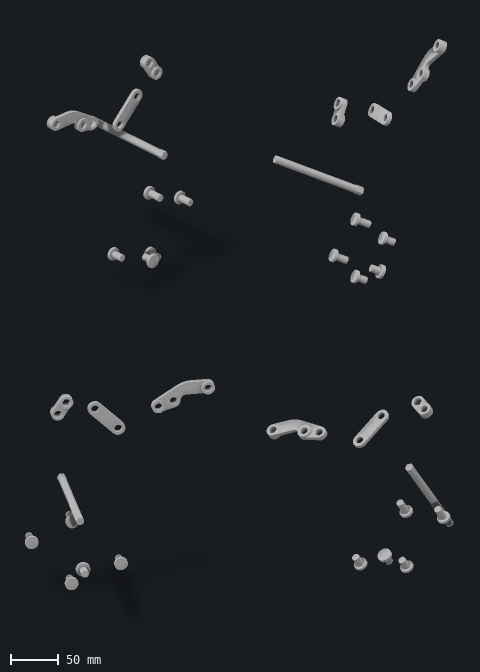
import cadquery as cq
import math


eye_diameter = 14.1
eye_radius = eye_diameter / 2
wide_eye_diameter = 15.0
wide_eye_radius = wide_eye_diameter / 2
pin_hole_diameter = 8.0
pin_diameter = 7.9

shaft_length = 108.2
shaft_diameter = 8.3
hex_sides = 6
hex_length = 8.0
hex_across_flats = shaft_diameter
hex_across_corners = hex_across_flats / math.cos(math.pi / hex_sides)

crank_hex_eye = (0, 100.0)
crank_pin_eye = (8.5, 86.5)
crank_plate_x = 80.6
crank_plate_thickness = 5.0
crank_boss_height = 2.8

link_upper_eye = (-34.0, 80.2)
link_lower_eye = (-58.5, 55.8)
link_x = 98.7
link_thickness = 4.0

arm_near_eye = (-102.2, 74.8)
arm_middle_eye = (-118.1, 80.0)
arm_far_eye = (-154.5, 93.1)
arm_plate_x = 103.8
arm_plate_thickness = 4.5
arm_near_boss_height = 1.5
arm_far_boss_height = 3.7
arm_middle_boss_height = 2.0
arm_bend_radius = 28.7
arm_bend_y = -137.4
arm_inner_corner_radius = 6.0

thin_head_thickness = 3.0
thick_head_thickness = 3.5
pin_layouts = [
    ((33.8, -66.5), 93.8, eye_radius, thin_head_thickness, 14.8, 1),
    ((-9.0, -45.6), 92.7, eye_radius, thick_head_thickness, 15.5, 1),
    ((-60.7, -99.0), 93.1, eye_radius, thin_head_thickness, 12.0, 1),
    ((-24.3, -112.4), 117.5, wide_eye_radius, thick_head_thickness, 10.5, -1),
    ((-8.3, -117.5), 93.1, eye_radius, thin_head_thickness, 11.5, 1),
]

up = math.pi / 2
half_turn = math.pi
full_turn = 2 * math.pi


def plane_at(x):
    """YZ sketch plane at the given X; it extrudes towards +X."""
    return cq.Workplane("YZ", origin=(x, 0, 0))


def cylinder(centre, radius, x, length):
    """Cylinder along X; a negative length extrudes towards -X."""
    return plane_at(x).center(*centre).circle(radius).extrude(length)


def boss(centre, radius, start_x, end_x):
    """Round boss that runs through its plate, from one face to the other."""
    return cylinder(centre, radius, start_x, end_x - start_x)


def point_on_circle(centre, radius, angle):
    return (centre[0] + radius * math.cos(angle), centre[1] + radius * math.sin(angle))


def direction(start, end):
    """Angle from one point to another in the YZ plane."""
    return math.atan2(end[1] - start[1], end[0] - start[0])


def tangent_angle(first, first_radius, second, second_radius):
    """Angle from each centre to the line that touches both circles on the right, going first to second."""
    distance = math.dist(first, second)
    return direction(first, second) - math.acos((first_radius - second_radius) / distance)


def add_arc(outline, centre, radius, start_angle, end_angle):
    """Extend an outline along an arc, starting where the outline has reached."""
    middle = point_on_circle(centre, radius, (start_angle + end_angle) / 2)
    return outline.threePointArc(middle, point_on_circle(centre, radius, end_angle))


def two_eye_plate(first, second, radius, x, thickness):
    """Plate with round ends of equal radius centred on two points."""
    right = tangent_angle(first, radius, second, radius)
    left = right + half_turn
    outline = plane_at(x).moveTo(*point_on_circle(first, radius, right))
    outline = outline.lineTo(*point_on_circle(second, radius, right))
    outline = add_arc(outline, second, radius, right, left)
    outline = outline.lineTo(*point_on_circle(first, radius, left))
    outline = add_arc(outline, first, radius, left, right + full_turn)
    return outline.close().extrude(thickness)


def drill(body, centres, diameter):
    """Round holes along X right through a body."""
    box = body.val().BoundingBox()
    return body.cut(plane_at(box.xmin).pushPoints(centres).circle(diameter / 2).extrude(box.xlen))


def make_shaft():
    round_length = shaft_length - hex_length
    bar = cylinder((0, 0), shaft_diameter / 2, 0, round_length)
    hex_end = plane_at(round_length).polygon(hex_sides, hex_across_corners).extrude(hex_length)
    return bar.union(hex_end)


def make_crank():
    plate_end_x = crank_plate_x + crank_plate_thickness
    plate = two_eye_plate(crank_hex_eye, crank_pin_eye, eye_radius, crank_plate_x, crank_plate_thickness)
    hex_boss = boss(crank_hex_eye, eye_radius, crank_plate_x - crank_boss_height, plate_end_x)
    pin_boss = boss(crank_pin_eye, eye_radius, crank_plate_x, plate_end_x + crank_boss_height)
    hex_hole = (
        plane_at(crank_plate_x - crank_boss_height)
        .center(*crank_hex_eye)
        .polygon(hex_sides, hex_across_corners)
        .extrude(crank_boss_height + crank_plate_thickness)
    )
    crank = plate.union(hex_boss).union(pin_boss).cut(hex_hole)
    return drill(crank, [crank_pin_eye], pin_hole_diameter)


def make_link():
    link = two_eye_plate(link_upper_eye, link_lower_eye, wide_eye_radius, link_x, link_thickness)
    return drill(link, [link_upper_eye, link_lower_eye], pin_hole_diameter)


def make_arm_plate():
    """Plate that runs level from the far eye, then bends down past the middle eye to the near eye."""
    corner_z = arm_far_eye[1] - eye_radius - arm_inner_corner_radius
    corner_reach = wide_eye_radius + arm_inner_corner_radius
    corner_y = arm_middle_eye[0] - math.sqrt(corner_reach**2 - (corner_z - arm_middle_eye[1]) ** 2)
    corner = (corner_y, corner_z)
    corner_end_angle = direction(corner, arm_middle_eye)
    middle_start_angle = corner_end_angle - half_turn

    lower_angle = tangent_angle(arm_middle_eye, wide_eye_radius, arm_near_eye, eye_radius)

    bend = (arm_bend_y, arm_far_eye[1] + eye_radius - arm_bend_radius)
    upper_angle = tangent_angle(arm_near_eye, eye_radius, bend, arm_bend_radius) + full_turn

    outline = plane_at(arm_plate_x).moveTo(*point_on_circle(arm_far_eye, eye_radius, up))
    outline = add_arc(outline, arm_far_eye, eye_radius, up, up + half_turn)
    outline = outline.lineTo(*point_on_circle(corner, arm_inner_corner_radius, up))
    outline = add_arc(outline, corner, arm_inner_corner_radius, up, corner_end_angle)
    outline = add_arc(outline, arm_middle_eye, wide_eye_radius, middle_start_angle, lower_angle)
    outline = outline.lineTo(*point_on_circle(arm_near_eye, eye_radius, lower_angle))
    outline = add_arc(outline, arm_near_eye, eye_radius, lower_angle, upper_angle)
    outline = outline.lineTo(*point_on_circle(bend, arm_bend_radius, upper_angle))
    outline = add_arc(outline, bend, arm_bend_radius, upper_angle, up)
    return outline.close().extrude(arm_plate_thickness)


def make_arm():
    plate_end_x = arm_plate_x + arm_plate_thickness
    near_boss = boss(arm_near_eye, eye_radius, arm_plate_x - arm_near_boss_height, plate_end_x)
    far_boss = boss(arm_far_eye, eye_radius, arm_plate_x - arm_far_boss_height, plate_end_x)
    middle_boss = boss(arm_middle_eye, wide_eye_radius, arm_plate_x, plate_end_x + arm_middle_boss_height)
    arm = make_arm_plate().union(near_boss).union(far_boss).union(middle_boss)
    return drill(arm, [arm_near_eye, arm_middle_eye, arm_far_eye], pin_hole_diameter)


def make_pin(centre, head_face_x, head_radius, head_thickness, shank_length, side):
    """Round head with a thinner shank; side is the way along X in which the shank points."""
    head = cylinder(centre, head_radius, head_face_x, side * head_thickness)
    shank_x = head_face_x + side * head_thickness
    return head.union(cylinder(centre, pin_diameter / 2, shank_x, side * shank_length))


shaft = make_shaft()
crank = make_crank()
link = make_link()
arm = make_arm()
pins = [make_pin(*layout).val() for layout in pin_layouts]

result = cq.Compound.makeCompound([shaft.val(), crank.val(), link.val(), arm.val(), *pins])